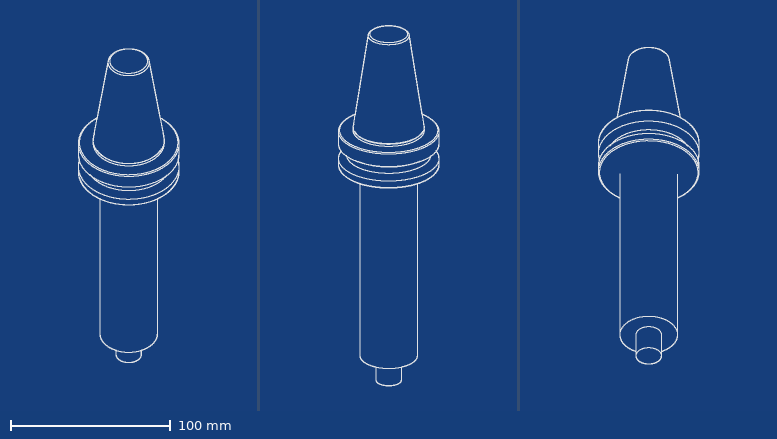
import cadquery as cq
import math

total_height = 242.5
taper_length = 65.5
neck_length = 2.0
flange_thickness = 25.0
pin_length = 17.2

flange_diameter = 63.0
groove_diameter = 53.0
taper_large_diameter = 44.5
body_diameter = 36.0
pin_diameter = 16.0

neck_groove_depth = 1.0
taper_ratio = 7 / 24
taper_tip_chamfer = 1.0
flange_chamfer = 0.7
groove_floor_width = 4.4
groove_wall_angle = 30.0
lower_rim_height = 5.3
body_fillet = 2.0

flange_radius = flange_diameter / 2
groove_radius = groove_diameter / 2
body_radius = body_diameter / 2
taper_small_radius = (taper_large_diameter - taper_length * taper_ratio) / 2

taper_bottom = total_height - taper_length
flange_top = taper_bottom - neck_length
flange_bottom = flange_top - flange_thickness
groove_wall_height = (flange_radius - groove_radius) * math.tan(math.radians(groove_wall_angle))
groove_bottom = flange_bottom + lower_rim_height
groove_floor_bottom = groove_bottom + groove_wall_height
groove_floor_top = groove_floor_bottom + groove_floor_width
groove_top = groove_floor_top + groove_wall_height


def make_flange():
    """Flange with chamfered rims and a V-shaped gripper groove."""
    profile = (
        cq.Workplane("XZ")
        .moveTo(0, flange_bottom)
        .lineTo(flange_radius - flange_chamfer, flange_bottom)
        .lineTo(flange_radius, flange_bottom + flange_chamfer)
        .lineTo(flange_radius, groove_bottom)
        .lineTo(groove_radius, groove_floor_bottom)
        .lineTo(groove_radius, groove_floor_top)
        .lineTo(flange_radius, groove_top)
        .lineTo(flange_radius, flange_top - flange_chamfer)
        .lineTo(flange_radius - flange_chamfer, flange_top)
        .lineTo(0, flange_top)
        .close()
    )
    return profile.revolve(360, (0, 0, 0), (0, 1, 0))


def make_taper():
    """Conical shank with a chamfered tip."""
    profile = (
        cq.Workplane("XZ")
        .moveTo(0, taper_bottom)
        .lineTo(taper_large_diameter / 2, taper_bottom)
        .lineTo(taper_small_radius, total_height)
        .lineTo(0, total_height)
        .close()
    )
    taper = profile.revolve(360, (0, 0, 0), (0, 1, 0))
    return taper.faces(">Z").edges().chamfer(taper_tip_chamfer)


def make_body():
    """Long cylinder that flares into the flange through a concave fillet."""
    fillet_bottom = flange_bottom - body_fillet
    fillet_center_radius = body_radius + body_fillet
    arc_reach = body_fillet * math.sqrt(0.5)
    arc_middle = (fillet_center_radius - arc_reach, fillet_bottom + arc_reach)
    profile = (
        cq.Workplane("XZ")
        .moveTo(0, pin_length)
        .lineTo(body_radius, pin_length)
        .lineTo(body_radius, fillet_bottom)
        .threePointArc(arc_middle, (fillet_center_radius, flange_bottom))
        .lineTo(0, flange_bottom)
        .close()
    )
    return profile.revolve(360, (0, 0, 0), (0, 1, 0))


def make_neck():
    """Short neck between taper and flange, with a V groove around it."""
    neck_radius = taper_large_diameter / 2
    profile = (
        cq.Workplane("XZ")
        .moveTo(0, flange_top)
        .lineTo(neck_radius, flange_top)
        .lineTo(neck_radius - neck_groove_depth, flange_top + neck_length / 2)
        .lineTo(neck_radius, taper_bottom)
        .lineTo(0, taper_bottom)
        .close()
    )
    return profile.revolve(360, (0, 0, 0), (0, 1, 0))


pin = cq.Workplane("XY").circle(pin_diameter / 2).extrude(pin_length)

result = pin.union(make_body()).union(make_flange()).union(make_neck()).union(make_taper())